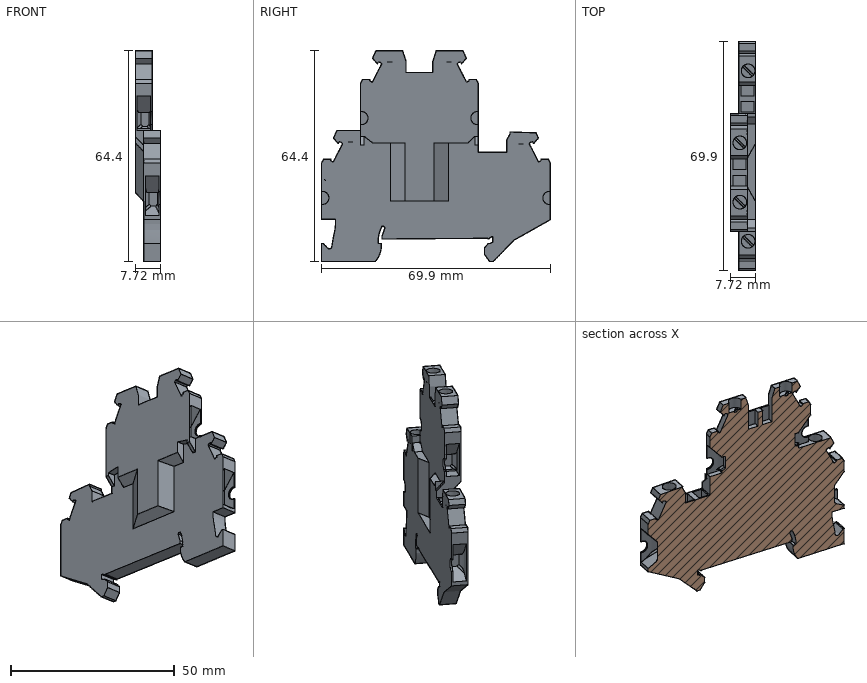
import cadquery as cq


total_width = 7.72
total_depth = 69.9
total_height = 64.35

module_width = 5.2
module_offset = total_width - module_width

lower_top = 40.0
body_bottom = 6.84
front_notch_top = 12.83
foot_hook_height = 5.55
lower_trough_floor = 33.35
lower_trough_center = 52.45

upper_center = 29.93
upper_half_depth = 18.0
upper_front = upper_center - upper_half_depth
upper_back = upper_center + upper_half_depth
trough_half_width = 4.05
trough_flare_half_width = 5.12
trough_flare_height = 3.3
trough_depth = 6.65
trough_flare_bottom = total_height - trough_flare_height
upper_trough_floor = total_height - trough_depth

chamfer_drop = 2.6
apron_half_depth = 12.9
apron_bottom = 36.2
lug_inner = 16.9
lug_bottom = 38.1
tab_top_inner = 39.7
tab_top_outer = 39.05
leg_half_tip = 4.38
leg_half_root = 8.85
leg_bottom = 21.0
socket_front_ramp_inner = 14.3
socket_back_ramp_inner = 14.8
socket_ramp_top = 38.2

screw_radius = 2.08
screw_inset = 8.95
screw_x = 2.93
screw_recess = 3.5
slot_width = 0.6
slot_depth = 0.5
slot_angle = -45

pocket_width = 3.9
pocket_x = 0.83
pocket_gap = 1.75
pocket_length = trough_half_width - pocket_gap / 2
pocket_depth = 5.0

entry_left = 0.6
entry_right = 4.66
entry_top_drop = 13.85
entry_bottom_drop = 26.0
entry_depth = 5.5
entry_straight_depth = 3.7
entry_ceiling_depth = 4.4
entry_inner_left = 1.74
entry_inner_right = 4.2
entry_inner_top_drop = 18.9
entry_inner_bottom_drop = 23.1
entry_corner_chamfer = 0.5
sill_depth = 4.3
sill_height = 0.6
bite_radius = 2.0
bite_inset = 0.3
bite_drop = 20.6

clamp_head = [
    (0.0, 10.02),
    (0.65, 8.77),
    (2.9, 8.77),
    (2.9, 9.2),
    (3.6, 9.65),
    (6.45, 4.06),
    (6.1, 3.65),
    (5.45, 3.5),
    (5.16, 4.06),
    (3.66, 2.35),
]
clamp_corner = (4.73, 0.0)
back_clamp_drop = 0.7
back_clamp_corner = (4.39, back_clamp_drop)


def head_points(end_face, top, inward, corner):
    """Clamp head outline from the end face up to its top corner."""
    return [(end_face + inward * inset, top - drop) for inset, drop in clamp_head + [corner]]


def side_plate(x_start):
    """Sketch plane parallel to the side faces; local axes are Y and Z."""
    return cq.Workplane("YZ", origin=(x_start, 0, 0))


def box(x0, x1, y0, y1, z0, z1):
    return cq.Workplane("XY").box(x1 - x0, y1 - y0, z1 - z0, centered=False).translate((x0, y0, z0))


def lower_plate():
    """Side plate of the lower module with its clamp heads, trough and rail feet."""
    front_head = head_points(0, lower_top, 1, clamp_corner)
    lower_trough_back = lower_trough_center + trough_half_width
    back_head = head_points(total_depth, lower_top, -1, back_clamp_corner)
    outline = side_plate(module_offset).moveTo(0, front_notch_top)
    for point in front_head:
        outline = outline.lineTo(*point)
    outline = (
        outline.lineTo(upper_back, lower_top)
        .lineTo(upper_back, lower_trough_floor)
        .lineTo(lower_trough_back, lower_trough_floor)
        .lineTo(lower_trough_back, 37.0)
        .lineTo(57.5, 38.9)
        .lineTo(57.5, 39.55)
    )
    for point in reversed(back_head):
        outline = outline.lineTo(*point)
    outline = (
        outline.lineTo(total_depth, 12.75)
        .lineTo(58.8, 6.5)
        .lineTo(52.45, 0)
        .lineTo(51.3, 0)
        .lineTo(49.7, 2.24)
        .lineTo(49.7, 4.17)
        .lineTo(51.0, foot_hook_height)
        .lineTo(51.5, foot_hook_height)
        .lineTo(52.27, 5.9)
        .lineTo(52.27, 7.48)
        .lineTo(51.84, 7.48)
        .lineTo(51.0, body_bottom)
        .lineTo(50.7, 7.05)
    )
    outline = (
        outline.lineTo(18.5, body_bottom)
        .lineTo(18.5, 7.8)
        .lineTo(19.36, 10.26)
        .lineTo(19.1, 10.7)
        .lineTo(18.5, 10.7)
        .threePointArc((17.75, 8.8), (17.4, 7.06))
        .lineTo(17.4, foot_hook_height)
        .lineTo(18.3, foot_hook_height)
        .lineTo(18.3, 4.06)
        .threePointArc((17.75, 2.0), (16.5, 0))
        .lineTo(0, 0)
    )
    outline = (
        outline.lineTo(0, foot_hook_height)
        .lineTo(0.55, foot_hook_height)
        .lineTo(1.87, 4.2)
        .threePointArc((2.5, 3.9), (3.15, 4.4))
        .threePointArc((3.6, 7.2), (4.1, 9.6))
        .lineTo(4.3, 11.3)
        .lineTo(4.3, front_notch_top)
        .close()
    )
    return outline.extrude(module_width)


def upper_plate():
    """Symmetric side plate of the upper module above the top of the lower one."""
    front = head_points(upper_front, total_height, 1, clamp_corner)
    front += [
        (upper_center - trough_flare_half_width, total_height),
        (upper_center - trough_half_width, trough_flare_bottom),
        (upper_center - trough_half_width, upper_trough_floor),
    ]
    back = [(2 * upper_center - y, z) for y, z in reversed(front)]
    outline = [(upper_front, lower_top)] + front + back + [(upper_back, lower_top)]
    return side_plate(0).polyline(outline).close().extrude(module_width)


def chamfered_slab(y0, y1, bottom, top):
    """Slab as wide as the module offset, its underside falling towards +X."""
    section = [(0, top), (0, bottom), (module_offset, bottom - chamfer_drop), (module_offset, top)]
    return cq.Workplane("XZ", origin=(0, y0, 0)).polyline(section).close().extrude(y0 - y1)


def lug(side):
    """Lug at one end of the coupling; side is -1 for the front and 1 for the back."""
    ends = sorted((upper_center + side * lug_inner, upper_center + side * upper_half_depth))
    return chamfered_slab(*ends, lug_bottom, lower_top)


def leg_prism(bottom):
    """Dovetail leg, widening towards +X, up to the top of the lower module."""
    plan = [
        (0, upper_center - leg_half_tip),
        (0, upper_center + leg_half_tip),
        (module_offset, upper_center + leg_half_root),
        (module_offset, upper_center - leg_half_root),
    ]
    return cq.Workplane("XY", origin=(0, 0, bottom)).polyline(plan).close().extrude(lower_top - bottom)


def coupling():
    """Part of the upper module beside the lower one: apron, lugs, notch roofs and leg."""
    leg_front = upper_center - leg_half_root
    leg_back = upper_center + leg_half_root
    leg = leg_prism(leg_bottom - chamfer_drop)
    leg = leg.intersect(chamfered_slab(leg_front, leg_back, leg_bottom, lower_top))
    apron_front = upper_center - apron_half_depth
    apron_back = upper_center + apron_half_depth
    body = chamfered_slab(apron_front, apron_back, apron_bottom, lower_top).union(leg)
    for side in (-1, 1):
        notch_roof = [
            (upper_center + side * apron_half_depth, tab_top_inner),
            (upper_center + side * lug_inner, tab_top_outer),
            (upper_center + side * lug_inner, lower_top),
            (upper_center + side * apron_half_depth, lower_top),
        ]
        body = body.union(lug(side))
        body = body.union(side_plate(0).polyline(notch_roof).close().extrude(module_offset))
    return body


def coupling_socket():
    """Recess on the +X side that takes the coupling of the next block."""
    seat = [
        (upper_center - lug_inner, lower_top),
        (upper_center - lug_inner, socket_ramp_top),
        (upper_center - socket_front_ramp_inner, apron_bottom),
        (upper_center + socket_back_ramp_inner, apron_bottom),
        (upper_center + lug_inner, socket_ramp_top),
        (upper_center + lug_inner, lower_top),
    ]
    socket = side_plate(0).polyline(seat).close().extrude(module_offset)
    socket = socket.union(leg_prism(leg_bottom - chamfer_drop))
    socket = socket.union(lug(-1)).union(lug(1))
    return socket.translate((module_width, 0, 0))


def screw_hole(module_x, y, top):
    """Access hole above a slotted screw head, from above the clamp head downwards."""
    center = (module_x + screw_x, y, top - screw_recess)
    hole = cq.Workplane("XY", origin=center).circle(screw_radius).extrude(2 * screw_recess)
    slot = cq.Workplane("XY").rect(2 * screw_radius, slot_width).extrude(-slot_depth)
    slot = slot.rotate((0, 0, 0), (0, 0, 1), slot_angle).translate(center)
    return hole.union(slot)


def pocket_pair(module_x, center_y, floor):
    """Two square pockets side by side in a trough floor."""
    x0 = module_x + pocket_x
    pockets = cq.Workplane("XY")
    for y0 in (center_y - pocket_gap / 2 - pocket_length, center_y + pocket_gap / 2):
        pockets = pockets.union(
            box(x0, x0 + pocket_width, y0, y0 + pocket_length, floor - pocket_depth, floor)
        )
    return pockets


def wire_entry(module_x, top):
    """Funnel entering from the plane Y = 0, with a round bite out of its +X wall."""
    profile = [
        (0, top - entry_top_drop),
        (0, top - entry_bottom_drop),
        (entry_depth, top - entry_inner_bottom_drop),
        (entry_depth, top - entry_inner_top_drop),
        (entry_ceiling_depth, top - entry_inner_top_drop),
    ]
    plan = [
        (entry_left, 0),
        (entry_right, 0),
        (entry_right, entry_straight_depth),
        (entry_inner_right, entry_depth),
        (entry_inner_left, entry_depth),
        (entry_left, entry_straight_depth),
    ]
    funnel = side_plate(0).polyline(profile).close().extrude(module_width)
    funnel = funnel.intersect(cq.Workplane("XY").polyline(plan).close().extrude(total_height))
    taper_middle = (entry_straight_depth + entry_depth) / 2
    corner_reach = (entry_depth - entry_straight_depth) / 4
    middle_x = (entry_left + entry_right) / 2
    middle_z = top - (entry_inner_top_drop + entry_inner_bottom_drop) / 2
    floor_corners = cq.selectors.BoxSelector(
        (entry_left, entry_straight_depth, 0), (entry_right, taper_middle + corner_reach, middle_z)
    )
    funnel = funnel.edges(floor_corners).chamfer(entry_corner_chamfer)
    bite = side_plate(middle_x).center(bite_inset, top - bite_drop).circle(bite_radius)
    bite = bite.extrude(module_width - middle_x)
    return funnel.union(bite).translate((module_x, 0, 0))


def wire_entries(module_x, top, front_face, back_face):
    """Matching wire entries in both end faces of a module."""
    front = wire_entry(module_x, top)
    back = front.mirror("XZ")
    return front.translate((0, front_face, 0)).union(back.translate((0, back_face, 0)))


def upper_wire_entries():
    """Entries of the upper module, their floors levelled at the top of the lower module."""
    entries = wire_entries(0, total_height, upper_front, upper_back)
    entries = entries.intersect(box(0, module_width, 0, total_depth, lower_top, total_height))
    sill_top = lower_top + sill_height
    front_sill = box(entry_left, entry_right, upper_front, upper_front + sill_depth, lower_top, sill_top)
    back_sill = box(entry_left, entry_right, upper_back - sill_depth, upper_back, lower_top, sill_top)
    return entries.union(front_sill).union(back_sill)


lower_body = lower_plate().cut(coupling_socket())
result = lower_body.union(upper_plate()).union(coupling())

result = result.cut(screw_hole(0, upper_front + screw_inset, total_height))
result = result.cut(screw_hole(0, upper_back - screw_inset, total_height))
result = result.cut(screw_hole(module_offset, screw_inset, lower_top))
result = result.cut(screw_hole(module_offset, total_depth - screw_inset, lower_top - back_clamp_drop))

result = result.cut(pocket_pair(0, upper_center, upper_trough_floor))
result = result.cut(pocket_pair(module_offset, lower_trough_center, lower_trough_floor))

result = result.cut(wire_entries(module_offset, lower_top, 0, total_depth))
result = result.cut(upper_wire_entries())